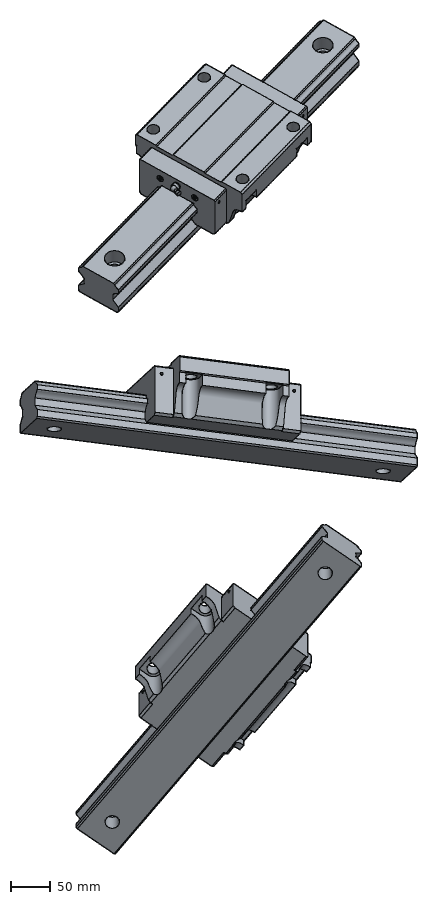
import cadquery as cq
import math

RAIL_LENGTH = 520.0
RAIL_HEIGHT = 53.0
RAIL_HALF_WIDTH = 31.5
RAIL_TOP_HALF_WIDTH = 24.5
RAIL_WAIST_HALF_WIDTH = 23.0
RAIL_WAIST_BOTTOM = 20.5
RAIL_WAIST_TOP = 30.0
RAIL_HEAD_BOTTOM = 39.0
RAIL_HEAD_TOP = 45.0
RAIL_FOOT_TOP = RAIL_WAIST_BOTTOM - (RAIL_HALF_WIDTH - RAIL_WAIST_HALF_WIDTH)
RAIL_FOOT_CHAMFER = 2.0
RACE_LAND = 1.5
RACE_DEPTH = 0.5
RAIL_HOLE_SPACING = 450.0
RAIL_HOLE_DIAMETER = 18.0
RAIL_BORE_DIAMETER = 26.0
RAIL_BORE_DEPTH = 22.0

TOTAL_WIDTH = 170.0
TOTAL_HEIGHT = 90.0
CARRIAGE_Y = 10.0
CARRIAGE_BOTTOM = 14.0
BLOCK_LENGTH = 149.0
BLOCK_HALF_WIDTH = TOTAL_WIDTH / 2
FLANGE_BOTTOM = 53.0
FLANGE_TOP_CHAMFER = 2.5
EDGE_RELIEF_TOP = 68.5
EDGE_RELIEF_DEPTH = 1.5
FLANK_TOP_X = 73.0
FLANK_BOTTOM_X = 64.0
FLANK_BOTTOM_Z = 18.0
FLANK_FILLET = 12.5
BLOCK_FOOT_HALF_WIDTH = 60.5
TOP_GROOVE_INNER = 24.5
TOP_GROOVE_OUTER = 52.5
TOP_GROOVE_DEPTH = 1.5

BOLT_SPACING_X = 142.0
BOLT_SPACING_Y = 109.5
BOLT_DIAMETER = 16.0
BOLT_SLOT_WIDTH = 23.0
BOLT_SLOT_TOP = 67.5

CAP_LENGTH = 25.0
CAP_HALF_WIDTH = 60.5
CAP_TOP = 81.0
CAP_TOP_CHAMFER = 1.5
CAP_BOTTOM_CHAMFER = 3.0
CAP_FACE_Y = CARRIAGE_Y - BLOCK_LENGTH / 2 - CAP_LENGTH

SCREW_SPACING = 55.0
SCREW_Z = 64.5
SCREW_RECESS_DIAMETER = 9.5
SCREW_RECESS_DEPTH = 1.0
SOCKET_SIDES = 6
SOCKET_ACROSS_FLATS = 4.0
SOCKET_DEPTH = 2.5

NIPPLE_Z = 70.5
PORT_DIAMETER = 3.5
PORT_DEPTH = 5.0
PORT_INSET = 9.0

NIPPLE_STEM_DIAMETER = 10.0
NIPPLE_STEM_LENGTH = 1.5
NIPPLE_COLLAR_DIAMETER = 11.0
NIPPLE_BASE_LENGTH = 6.0
NIPPLE_BALL_DIAMETER = 8.5
NIPPLE_BALL_OFFSET = 7.5
NIPPLE_ANGLE = 16.0
NIPPLE_NECK_DIAMETER = 4.5
NIPPLE_HEAD_DIAMETER = 7.0
NIPPLE_HEAD_START = 7.0
NIPPLE_HEAD_END = 11.0

CUT_MARGIN = 5.0


def extrude_along_y(outline, length, y_middle):
    """Extrude an XZ outline symmetrically about the plane y = y_middle."""
    return outline.extrude(length / 2, both=True).translate((0, y_middle, 0))


def race_point(start, end):
    """Middle point of a ball race arc that sags toward the core of the rail."""
    dx = end[0] - start[0]
    dz = end[1] - start[1]
    chord = math.hypot(dx, dz)
    return (
        (start[0] + end[0]) / 2 - RACE_DEPTH * dz / chord,
        (start[1] + end[1]) / 2 + RACE_DEPTH * dx / chord,
    )


def rail_half_outline():
    lower_race_start = (RAIL_WAIST_HALF_WIDTH + RACE_LAND, RAIL_WAIST_TOP + RACE_LAND)
    lower_race_end = (RAIL_HALF_WIDTH - RACE_LAND, RAIL_HEAD_BOTTOM - RACE_LAND)
    upper_race_start = (RAIL_HALF_WIDTH - RACE_LAND, RAIL_HEAD_TOP + RACE_LAND)
    upper_race_end = (RAIL_TOP_HALF_WIDTH + RACE_LAND, RAIL_HEIGHT - RACE_LAND)
    return (
        cq.Workplane("XZ")
        .moveTo(0, 0)
        .lineTo(RAIL_HALF_WIDTH - RAIL_FOOT_CHAMFER, 0)
        .lineTo(RAIL_HALF_WIDTH, RAIL_FOOT_CHAMFER)
        .lineTo(RAIL_HALF_WIDTH, RAIL_FOOT_TOP)
        .lineTo(RAIL_WAIST_HALF_WIDTH, RAIL_WAIST_BOTTOM)
        .lineTo(RAIL_WAIST_HALF_WIDTH, RAIL_WAIST_TOP)
        .lineTo(*lower_race_start)
        .threePointArc(race_point(lower_race_start, lower_race_end), lower_race_end)
        .lineTo(RAIL_HALF_WIDTH, RAIL_HEAD_BOTTOM)
        .lineTo(RAIL_HALF_WIDTH, RAIL_HEAD_TOP)
        .lineTo(*upper_race_start)
        .threePointArc(race_point(upper_race_start, upper_race_end), upper_race_end)
        .lineTo(RAIL_TOP_HALF_WIDTH, RAIL_HEIGHT)
        .lineTo(0, RAIL_HEIGHT)
        .close()
    )


def make_rail_bar():
    half = extrude_along_y(rail_half_outline(), RAIL_LENGTH, 0)
    return half.union(half.mirror("YZ")).clean()


def make_rail(bar):
    holes = [(0, -RAIL_HOLE_SPACING / 2), (0, RAIL_HOLE_SPACING / 2)]
    return (
        bar.faces(">Z")
        .workplane(origin=(0, 0, RAIL_HEIGHT))
        .pushPoints(holes)
        .cboreHole(RAIL_HOLE_DIAMETER, RAIL_BORE_DIAMETER, RAIL_BORE_DEPTH)
    )


def make_block():
    """Flanged centre block with a tapered, filleted flank on both sides."""
    taper = math.atan2(FLANGE_BOTTOM - FLANK_BOTTOM_Z, FLANK_TOP_X - FLANK_BOTTOM_X)
    tangent_length = FLANK_FILLET * math.tan(taper / 2)
    fillet_start = (
        FLANK_TOP_X - tangent_length * math.cos(taper),
        FLANGE_BOTTOM - tangent_length * math.sin(taper),
    )
    fillet_end = (FLANK_TOP_X + tangent_length, FLANGE_BOTTOM)
    bisector = taper / 2
    fillet_middle = (
        fillet_end[0] - FLANK_FILLET * math.sin(bisector),
        FLANGE_BOTTOM - FLANK_FILLET * (1 - math.cos(bisector)),
    )
    outline = (
        cq.Workplane("XZ")
        .moveTo(0, CARRIAGE_BOTTOM)
        .lineTo(BLOCK_FOOT_HALF_WIDTH, CARRIAGE_BOTTOM)
        .lineTo(FLANK_BOTTOM_X, FLANK_BOTTOM_Z)
        .lineTo(*fillet_start)
        .threePointArc(fillet_middle, fillet_end)
        .lineTo(BLOCK_HALF_WIDTH, FLANGE_BOTTOM)
        .lineTo(BLOCK_HALF_WIDTH, TOTAL_HEIGHT - FLANGE_TOP_CHAMFER)
        .lineTo(BLOCK_HALF_WIDTH - FLANGE_TOP_CHAMFER, TOTAL_HEIGHT)
        .lineTo(TOP_GROOVE_OUTER, TOTAL_HEIGHT)
        .lineTo(TOP_GROOVE_OUTER - TOP_GROOVE_DEPTH, TOTAL_HEIGHT - TOP_GROOVE_DEPTH)
        .lineTo(TOP_GROOVE_INNER + TOP_GROOVE_DEPTH, TOTAL_HEIGHT - TOP_GROOVE_DEPTH)
        .lineTo(TOP_GROOVE_INNER, TOTAL_HEIGHT)
        .lineTo(0, TOTAL_HEIGHT)
        .close()
    )
    half = extrude_along_y(outline, BLOCK_LENGTH, CARRIAGE_Y)
    return half.union(half.mirror("YZ")).clean()


def make_edge_relief():
    """Shallow bevelled step along the lower part of the -X flange face."""
    face_x = -BLOCK_HALF_WIDTH
    outline = cq.Workplane("XZ").polyline([
        (face_x, EDGE_RELIEF_TOP),
        (face_x + EDGE_RELIEF_DEPTH, EDGE_RELIEF_TOP - EDGE_RELIEF_DEPTH),
        (face_x + EDGE_RELIEF_DEPTH, FLANGE_BOTTOM - CUT_MARGIN),
        (face_x - CUT_MARGIN, FLANGE_BOTTOM - CUT_MARGIN),
        (face_x - CUT_MARGIN, EDGE_RELIEF_TOP),
    ]).close()
    return extrude_along_y(outline, BLOCK_LENGTH, CARRIAGE_Y)


def make_bolt_cutters():
    """Flange bolt holes, each with a U-shaped clearance slot below, open to the side."""
    slot_bottom = CARRIAGE_BOTTOM - CUT_MARGIN
    slot_height = BOLT_SLOT_TOP - slot_bottom
    slot_reach = BLOCK_HALF_WIDTH + CUT_MARGIN - BOLT_SPACING_X / 2
    cutters = []
    for side in (-1, 1):
        for end in (-1, 1):
            x = side * BOLT_SPACING_X / 2
            y = CARRIAGE_Y + end * BOLT_SPACING_Y / 2
            base = cq.Workplane("XY", origin=(x, y, slot_bottom))
            cutters.append(base.circle(BOLT_DIAMETER / 2).extrude(TOTAL_HEIGHT))
            cutters.append(base.circle(BOLT_SLOT_WIDTH / 2).extrude(slot_height))
            mouth = base.center(side * slot_reach / 2, 0).rect(slot_reach, BOLT_SLOT_WIDTH)
            cutters.append(mouth.extrude(slot_height))
    return cutters


def make_caps():
    """Both end caps as one bar that runs through the block."""
    bar = cq.Workplane("XY").box(
        2 * CAP_HALF_WIDTH,
        BLOCK_LENGTH + 2 * CAP_LENGTH,
        CAP_TOP - CARRIAGE_BOTTOM,
        centered=(True, True, False),
    )
    bar = bar.edges("|Y and >Z").chamfer(CAP_TOP_CHAMFER)
    bar = bar.edges("|Y and <Z").chamfer(CAP_BOTTOM_CHAMFER)
    return bar.translate((0, CARRIAGE_Y, CARRIAGE_BOTTOM))


def make_screw_recesses():
    """Round recesses with hexagon sockets in the cap face beside the nipple."""
    centres = [(-SCREW_SPACING / 2, SCREW_Z), (SCREW_SPACING / 2, SCREW_Z)]
    face = cq.Workplane("XZ", origin=(0, CAP_FACE_Y, 0)).pushPoints(centres)
    recesses = face.circle(SCREW_RECESS_DIAMETER / 2).extrude(-SCREW_RECESS_DEPTH)
    corner_radius = SOCKET_ACROSS_FLATS / 2 / math.cos(math.pi / SOCKET_SIDES)
    corner_up = 90
    hexagon = cq.Sketch().regularPolygon(corner_radius, SOCKET_SIDES, corner_up)
    sockets = face.placeSketch(hexagon).extrude(-SOCKET_DEPTH)
    return [recesses, sockets]


def make_side_ports():
    """Blind grease ports in the +X and -X faces of both caps."""
    ports = []
    port_offset = BLOCK_LENGTH / 2 + CAP_LENGTH - PORT_INSET
    for end in (-1, 1):
        port = (
            cq.Workplane("YZ", origin=(CAP_HALF_WIDTH, 0, 0))
            .center(CARRIAGE_Y + end * port_offset, NIPPLE_Z)
            .circle(PORT_DIAMETER / 2)
            .extrude(-PORT_DEPTH)
        )
        ports.append(port)
        ports.append(port.mirror("YZ"))
    return ports


def make_carriage(rail_bar):
    block = make_block().cut(make_edge_relief())
    carriage = block.union(make_caps()).cut(rail_bar)
    for cutter in make_bolt_cutters() + make_screw_recesses() + make_side_ports():
        carriage = carriage.cut(cutter)
    return carriage


def make_nipple():
    """Elbow grease nipple seated on the cap face, spout toward +X."""
    base = (
        cq.Workplane("XZ", origin=(0, CAP_FACE_Y, NIPPLE_Z))
        .circle(NIPPLE_STEM_DIAMETER / 2)
        .extrude(NIPPLE_STEM_LENGTH)
        .faces("<Y")
        .workplane()
        .circle(NIPPLE_COLLAR_DIAMETER / 2)
        .extrude(NIPPLE_BASE_LENGTH - NIPPLE_STEM_LENGTH)
    )
    ball_centre = (0, CAP_FACE_Y - NIPPLE_BALL_OFFSET, NIPPLE_Z)
    ball = cq.Workplane("XY", origin=ball_centre).sphere(NIPPLE_BALL_DIAMETER / 2)
    neck = cq.Workplane("YZ").circle(NIPPLE_NECK_DIAMETER / 2).extrude(NIPPLE_HEAD_END)
    head = (
        cq.Workplane("YZ", origin=(NIPPLE_HEAD_START, 0, 0))
        .circle(NIPPLE_HEAD_DIAMETER / 2)
        .extrude(NIPPLE_HEAD_END - NIPPLE_HEAD_START)
    )
    spout = neck.union(head).rotate((0, 0, 0), (0, 0, 1), -NIPPLE_ANGLE).translate(ball_centre)
    return base.union(ball).union(spout)


rail_bar = make_rail_bar()
rail = make_rail(rail_bar)
carriage = make_carriage(rail_bar)
nipple = make_nipple()

result = cq.Compound.makeCompound([body.solids().val() for body in (rail, carriage, nipple)])